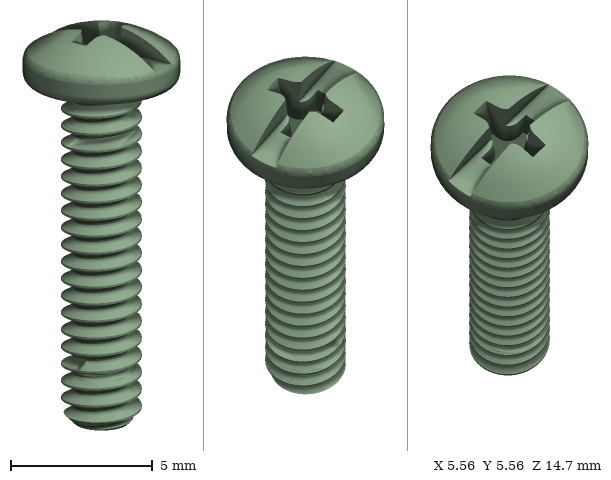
import cadquery as cq
import math

total_length = 14.68

head_diameter = 5.56
head_radius = head_diameter / 2
head_height = 1.98
head_edge_fillet = 0.37
dome_radius = 4.32
dome_height = 2.04
head_bottom = total_length - head_height

slot_width = 1.01
slot_floor = head_bottom + 1.04

recess_floor = head_bottom + 0.22
recess_depth = 1.91
wing_reach = 0.98
wing_half_width = 0.2
wing_end_taper = 14.8
wing_side_taper = 5.0
cross_corner_radius = 0.51

thread_turns = 20
pitch = head_bottom / thread_turns
thread_radius = 1.42
root_radius = 1.0
crest_width = pitch / 8
flank_angle = 30.0
crest_height_at_x = 0.53
tip_radius = 0.97
overlap = 0.07
ridge_embed = 0.03
core_overrun = 5 * pitch


def make_head():
    side_top = dome_height - dome_radius + math.sqrt(dome_radius**2 - head_radius**2)
    mid_radius = head_radius / 2
    mid_height = dome_height - dome_radius + math.sqrt(dome_radius**2 - mid_radius**2)
    profile = (
        cq.Workplane("XZ", origin=(0, 0, head_bottom))
        .lineTo(head_radius, 0)
        .lineTo(head_radius, side_top)
        .threePointArc((mid_radius, mid_height), (0, dome_height))
        .close()
    )
    head = profile.revolve(360, (0, 0), (0, 1))
    return head.edges("%CIRCLE").fillet(head_edge_fillet)


def make_shank():
    """Chamfered threaded rod, reaching a little way into the head."""
    top = head_bottom + overlap

    bottom = -core_overrun
    core = cq.Workplane("XY", origin=(0, 0, bottom)).circle(root_radius).extrude(top + 2 * core_overrun)

    start = crest_height_at_x - 2 * pitch
    turns = math.ceil((top - start) / pitch) + 1
    inner_radius = root_radius - ridge_embed
    helix = cq.Wire.makeHelix(pitch, turns * pitch, inner_radius, cq.Vector(0, 0, start))
    crest_half = crest_width / 2
    base_half = crest_half + (thread_radius - inner_radius) * math.tan(math.radians(flank_angle))
    ridge = (
        cq.Workplane("XZ", origin=(0, 0, start))
        .polyline([
            (inner_radius, -base_half),
            (thread_radius, -crest_half),
            (thread_radius, crest_half),
            (inner_radius, base_half),
        ])
        .close()
        .sweep(cq.Workplane(obj=helix), isFrenet=True)
    )

    envelope_radius = thread_radius + overlap
    envelope = (
        cq.Workplane("XY")
        .circle(envelope_radius)
        .extrude(top)
        .faces("<Z")
        .chamfer(envelope_radius - tip_radius)
    )
    return core.union(ridge).intersect(envelope)


def cross_outline(sketch, reach, half_width):
    """Four-winged cross with rounded inner corners and square wing ends."""
    corner = half_width + cross_corner_radius
    arc_middle = corner - cross_corner_radius * math.sqrt(0.5)

    def turned(x, y, angle):
        c = math.cos(angle)
        s = math.sin(angle)
        return (x * c - y * s, x * s + y * c)

    sketch = sketch.moveTo(reach, -half_width)
    for quarter in range(4):
        angle = quarter * math.pi / 2
        sketch = (
            sketch.lineTo(*turned(reach, half_width, angle))
            .lineTo(*turned(corner, half_width, angle))
            .threePointArc(
                turned(arc_middle, arc_middle, angle),
                turned(half_width, corner, angle),
            )
        )
        if quarter < 3:
            sketch = sketch.lineTo(*turned(half_width, reach, angle))
    return sketch.close()


def make_cross_recess():
    top_reach = wing_reach + recess_depth * math.tan(math.radians(wing_end_taper))
    top_half_width = wing_half_width + recess_depth * math.tan(math.radians(wing_side_taper))
    floor = cq.Workplane("XY", origin=(0, 0, recess_floor))
    lower = cross_outline(floor, wing_reach, wing_half_width)
    upper = cross_outline(lower.workplane(offset=recess_depth), top_reach, top_half_width)
    return upper.loft(ruled=True)


def make_slot():
    return cq.Workplane("XY", origin=(0, 0, slot_floor)).box(
        2 * head_radius, slot_width, head_height, centered=(True, True, False)
    )


head = make_head().cut(make_slot())
head = head.cut(make_cross_recess())
result = head.union(make_shank())